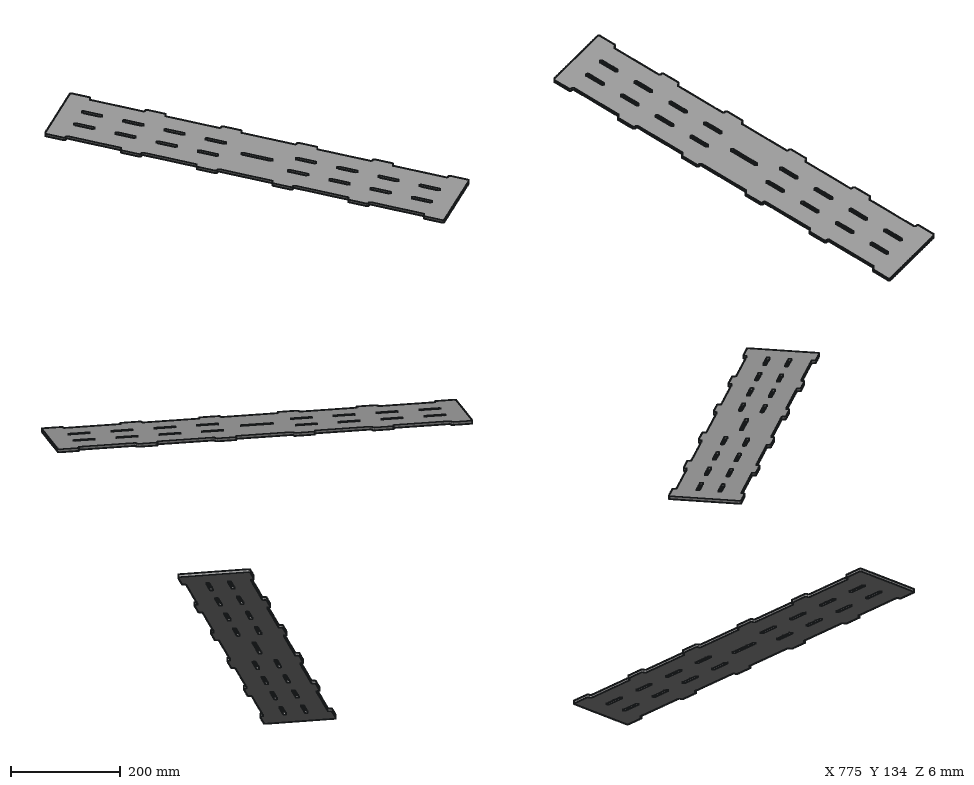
import cadquery as cq

length = 775.0
width = 134.0
thickness = 6.0

tab_count = 6
tab_length = 39.5
tab_depth = 7.0
tab_radius = 3.0

slot_width = 6.0

slots_per_group = 4
slot_straight = 34.0
slot_row_spacing = 40.0
end_slot_inset = 60.0
inner_slot_offset = 87.5

centre_slot_straight = 54.0

notch_count = tab_count - 1
tab_pitch = (length - tab_length) / notch_count
notch_length = tab_pitch - tab_length
outer_slot_offset = length / 2 - end_slot_inset
slot_pitch = (outer_slot_offset - inner_slot_offset) / (slots_per_group - 1)


def make_plate():
    """Flat plate whose long edges are notched to leave evenly spaced tabs."""
    plate = cq.Workplane("XY").box(length, width, thickness)
    notch_centres = [
        ((i - (notch_count - 1) / 2) * tab_pitch, side * width / 2)
        for i in range(notch_count)
        for side in (-1, 1)
    ]
    notches = (
        cq.Workplane("XY")
        .pushPoints(notch_centres)
        .box(notch_length, 2 * tab_depth, thickness)
    )
    return plate.cut(notches)


def round_tabs(plate):
    """Round every upright edge: the outer corners and the roots of all tabs."""
    return plate.edges("|Z").fillet(tab_radius)


def make_slot_cutters(centres, straight):
    """Round-ended prisms along X at the given centres, as thick as the plate."""
    return (
        cq.Workplane("XY")
        .pushPoints(centres)
        .slot2D(straight + slot_width, slot_width)
        .extrude(thickness / 2, both=True)
    )


def cut_slots(plate):
    """Cut the mirrored slot groups and the central slot through the plate."""
    slot_centres = [
        (end * (inner_slot_offset + i * slot_pitch), row * slot_row_spacing / 2)
        for i in range(slots_per_group)
        for end in (-1, 1)
        for row in (-1, 1)
    ]
    small_slots = make_slot_cutters(slot_centres, slot_straight)
    centre_slot = make_slot_cutters([(0, 0)], centre_slot_straight)
    return plate.cut(small_slots).cut(centre_slot)


result = cut_slots(round_tabs(make_plate()))